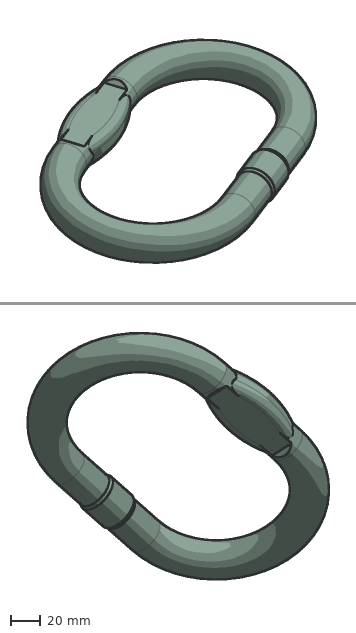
import cadquery as cq
import math

wire_diameter = 27.0
overall_length = 234.0
straight_length = 80.0
wire_radius = wire_diameter / 2
bend_radius = (overall_length - straight_length) / 2 - wire_radius

sleeve_diameter = 29.0
sleeve_length = 27.1
sleeve_taper_length = 2.5

plate_thickness = 20.4
plate_width = 37.5
plate_length = 65.3
plate_side_radius = 84.2
plate_edge_radius = 6.8

flat_length = 68.3
flat_spacing = plate_thickness
cutter_clearance = 2.3


def make_ring():
    """Two straight legs joined by half-circle bends."""
    half_straight = straight_length / 2
    path = (
        cq.Workplane("XY")
        .moveTo(bend_radius, -half_straight)
        .lineTo(bend_radius, half_straight)
        .threePointArc((0, half_straight + bend_radius), (-bend_radius, half_straight))
        .lineTo(-bend_radius, -half_straight)
        .threePointArc((0, -half_straight - bend_radius), (bend_radius, -half_straight))
        .close()
    )
    return (
        cq.Workplane("XZ", origin=(bend_radius, -half_straight, 0))
        .circle(wire_radius)
        .sweep(path)
    )


def make_sleeve():
    """Raised band around the leg, tapering to the wire at both ends."""
    half_length = sleeve_length / 2
    half_band = half_length - sleeve_taper_length
    sleeve_radius = sleeve_diameter / 2
    return (
        cq.Workplane("XY")
        .moveTo(0, -half_length)
        .lineTo(wire_radius, -half_length)
        .lineTo(sleeve_radius, -half_band)
        .lineTo(sleeve_radius, half_band)
        .lineTo(wire_radius, half_length)
        .lineTo(0, half_length)
        .close()
        .revolve(360, (0, 0, 0), (0, 1, 0))
        .translate((bend_radius, 0, 0))
    )


def make_flat_cutter():
    """Trapezoid, open upwards, that removes the top of the wire down to the flat."""
    floor = flat_spacing / 2
    top = wire_radius + cutter_clearance
    half_floor = flat_length / 2
    half_top = half_floor + top - floor
    return (
        cq.Workplane("YZ", origin=(-bend_radius, 0, 0))
        .polyline([(-half_floor, floor), (half_floor, floor), (half_top, top), (-half_top, top)])
        .close()
        .extrude(wire_radius, both=True)
    )


def make_plate():
    """Plate with bowed sides and rounded long edges."""
    half_width = plate_width / 2
    half_length = plate_length / 2
    bow = plate_side_radius - math.sqrt(plate_side_radius**2 - half_length**2)
    half_end = half_width - bow
    return (
        cq.Workplane("XY", origin=(-bend_radius, 0, -plate_thickness / 2))
        .moveTo(-half_end, -half_length)
        .lineTo(half_end, -half_length)
        .threePointArc((half_width, 0), (half_end, half_length))
        .lineTo(-half_end, half_length)
        .threePointArc((-half_width, 0), (-half_end, -half_length))
        .close()
        .extrude(plate_thickness)
        .faces("<X or >X")
        .edges("not |Z")
        .edges("%CIRCLE")
        .fillet(plate_edge_radius)
    )


flat_cutter = make_flat_cutter()
result = (
    make_ring()
    .cut(flat_cutter)
    .cut(flat_cutter.mirror("XY"))
    .union(make_sleeve())
    .union(make_plate())
)